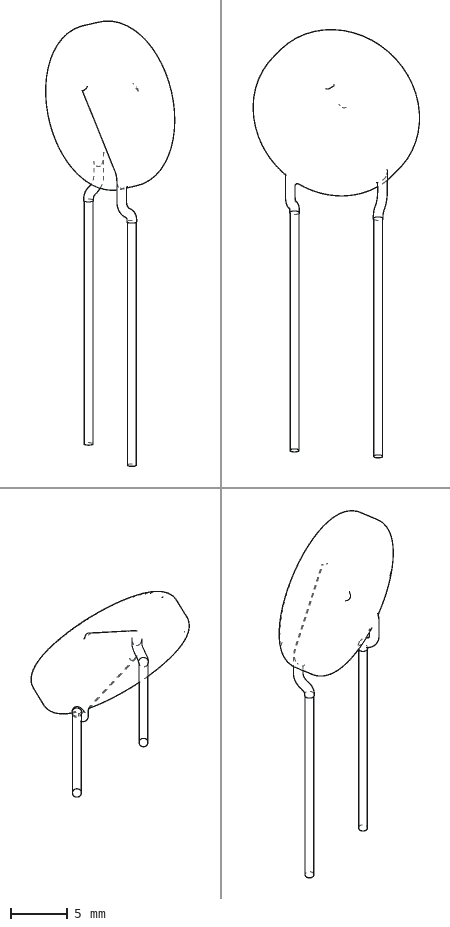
import cadquery as cq
import math

TOTAL_HEIGHT = 40.0
TOTAL_DEPTH = 4.3

DISC_DIAMETER = 15.0
DISC_THICKNESS = 3.8
DISC_EDGE_RADIUS = 1.0
DISC_CENTRE_Z = TOTAL_HEIGHT - DISC_DIAMETER / 2

BARE_DIAMETER = 0.8
COATED_DIAMETER = 0.9
LEAD_X = 3.75
BARE_GAP_Y = 0.3
BARE_Y = (BARE_DIAMETER + BARE_GAP_Y) / 2
COATED_Y = (TOTAL_DEPTH - COATED_DIAMETER) / 2

COATING_BOTTOM_Z = 22.55
TAPER_HEIGHT = 0.12
COLLAR_HEIGHT = 0.15
COLLAR_BOTTOM_Z = COATING_BOTTOM_Z + TAPER_HEIGHT
LOWER_BEND_RADIUS = 0.8
UPPER_BEND_RADIUS = 1.35
SLANT_BEND_START_Z = 26.7
SLANT_BEND_RADIUS = 1.75
SLANT_ANGLE = math.radians(36)
TIP_Z = 34.05
COATING_FILLET = 0.2

FACE_TOLERANCE = 0.005

CRANK_ANGLE = math.acos(1 - (COATED_Y - BARE_Y) / (LOWER_BEND_RADIUS + UPPER_BEND_RADIUS))


def make_disc():
    return (
        cq.Workplane("XZ", origin=(0, DISC_THICKNESS / 2, DISC_CENTRE_Z))
        .circle(DISC_DIAMETER / 2)
        .extrude(DISC_THICKNESS)
        .faces("<Y or >Y")
        .edges()
        .fillet(DISC_EDGE_RADIUS)
    )


def arc_step(radius, start_angle, end_angle):
    """Sideways and upward travel along an arc, with angles measured from vertical."""
    side = radius * abs(math.cos(start_angle) - math.cos(end_angle))
    rise = radius * abs(math.sin(end_angle) - math.sin(start_angle))
    return side, rise


def make_crank_path():
    """Straight collar, S-bend away from the disc's middle plane, straight run up the face."""
    collar_top = COLLAR_BOTTOM_Z + COLLAR_HEIGHT
    half_side, half_rise = arc_step(LOWER_BEND_RADIUS, 0, CRANK_ANGLE / 2)
    side, rise = arc_step(LOWER_BEND_RADIUS, 0, CRANK_ANGLE)
    upper_mid_side, upper_mid_rise = arc_step(UPPER_BEND_RADIUS, CRANK_ANGLE, CRANK_ANGLE / 2)
    _, upper_rise = arc_step(UPPER_BEND_RADIUS, CRANK_ANGLE, 0)
    bend_join_y = -BARE_Y - side
    bend_join_z = collar_top + rise
    return (
        cq.Workplane("YZ", origin=(LEAD_X, 0, 0))
        .moveTo(-BARE_Y, COLLAR_BOTTOM_Z)
        .lineTo(-BARE_Y, collar_top)
        .threePointArc(
            (-BARE_Y - half_side, collar_top + half_rise),
            (bend_join_y, bend_join_z),
        )
        .threePointArc(
            (bend_join_y - upper_mid_side, bend_join_z + upper_mid_rise),
            (-COATED_Y, bend_join_z + upper_rise),
        )
        .lineTo(-COATED_Y, SLANT_BEND_START_Z)
    )


def make_slant_path():
    """Bend in the plane of the disc face, then a straight run to the tip."""
    mid_side, mid_rise = arc_step(SLANT_BEND_RADIUS, 0, SLANT_ANGLE / 2)
    side, rise = arc_step(SLANT_BEND_RADIUS, 0, SLANT_ANGLE)
    slant_start_x = LEAD_X - side
    slant_start_z = SLANT_BEND_START_Z + rise
    tip_x = slant_start_x - (TIP_Z - slant_start_z) * math.tan(SLANT_ANGLE)
    return (
        cq.Workplane("XZ", origin=(0, -COATED_Y, 0))
        .moveTo(LEAD_X, SLANT_BEND_START_Z)
        .threePointArc(
            (LEAD_X - mid_side, SLANT_BEND_START_Z + mid_rise),
            (slant_start_x, slant_start_z),
        )
        .lineTo(tip_x, TIP_Z)
    )


def wire_section(y, z, diameter):
    return cq.Workplane("XY", origin=(LEAD_X, y, z)).circle(diameter / 2)


def make_bare_wire():
    return wire_section(-BARE_Y, 0, BARE_DIAMETER).extrude(COATING_BOTTOM_Z)


def make_coated_wire():
    taper = (
        wire_section(-BARE_Y, COATING_BOTTOM_Z, BARE_DIAMETER)
        .workplane(offset=TAPER_HEIGHT)
        .circle(COATED_DIAMETER / 2)
        .loft(ruled=True)
    )
    crank = wire_section(-BARE_Y, COLLAR_BOTTOM_Z, COATED_DIAMETER).sweep(make_crank_path())
    slant = wire_section(-COATED_Y, SLANT_BEND_START_Z, COATED_DIAMETER).sweep(make_slant_path())
    return taper.union(crank).union(slant)


def both_leads(lead):
    """The second lead is the first turned half a turn about the Z axis."""
    return lead.union(lead.rotate((0, 0, 0), (0, 0, 1), 180))


def is_coating_outline(edge):
    """True for edges where a coated wire leaves a flat face, but not for the face rim."""
    box = edge.BoundingBox()
    on_face = math.isclose(abs(box.ymin), DISC_THICKNESS / 2, abs_tol=FACE_TOLERANCE)
    in_plane = box.ylen < FACE_TOLERANCE
    rim_radius = DISC_DIAMETER / 2 - DISC_EDGE_RADIUS
    on_rim = edge.geomType() == "CIRCLE" and math.isclose(edge.radius(), rim_radius, abs_tol=FACE_TOLERANCE)
    return on_face and in_plane and not on_rim


coated_body = make_disc().union(both_leads(make_coated_wire()))
rounded_body = coated_body.edges().filter(is_coating_outline).fillet(COATING_FILLET)
result = rounded_body.union(both_leads(make_bare_wire()))